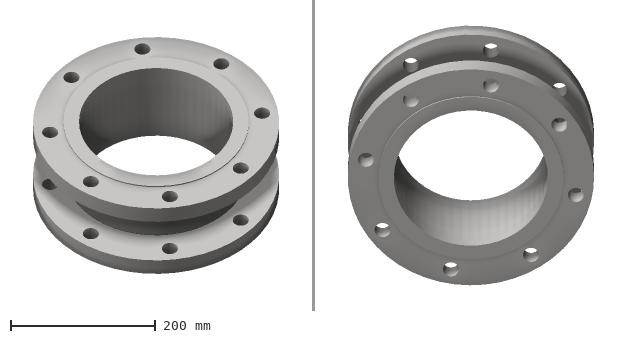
import cadquery as cq

flange_diameter = 340.0
total_height = 130.0

flange_thickness = 26.0
raised_face_diameter = 255.7
raised_face_height = 2.0

neck_radius = 108.0
body_radius = 126.8
body_height = 65.0
corner_fillet = 3.0

bore_diameter = 213.0
bolt_circle_diameter = 295.0
bolt_hole_diameter = 22.0
bolt_count = 8
first_bolt_angle = 180.0 / bolt_count

flange_outer_z = total_height / 2 - raised_face_height
flange_inner_z = flange_outer_z - flange_thickness


def make_sleeve():
    """Thick body with a narrow neck at each end, rounded at its rims and at the neck roots."""
    shoulder_z = body_height / 2
    upper_half = (
        cq.Workplane("XZ")
        .lineTo(body_radius, 0)
        .lineTo(body_radius, shoulder_z - corner_fillet)
        .tangentArcPoint((body_radius - corner_fillet, shoulder_z), relative=False)
        .lineTo(neck_radius + corner_fillet, shoulder_z)
        .tangentArcPoint((neck_radius, shoulder_z + corner_fillet), relative=False)
        .lineTo(neck_radius, flange_inner_z)
        .lineTo(0, flange_inner_z)
        .close()
        .revolve(360, (0, 0), (0, 1))
    )
    return upper_half.union(upper_half.mirror("XY"))


def make_top_flange():
    """Drilled flange with its raised face on the upper side."""
    flange = (
        cq.Workplane("XY")
        .workplane(offset=flange_inner_z)
        .circle(flange_diameter / 2)
        .extrude(flange_thickness)
    )
    raised_face = (
        cq.Workplane("XY")
        .workplane(offset=flange_outer_z)
        .circle(raised_face_diameter / 2)
        .extrude(raised_face_height)
    )
    bolt_holes = (
        cq.Workplane("XY")
        .workplane(offset=flange_inner_z)
        .polarArray(bolt_circle_diameter / 2, first_bolt_angle, 360, bolt_count)
        .circle(bolt_hole_diameter / 2)
        .extrude(flange_thickness)
    )
    return flange.union(raised_face).cut(bolt_holes)


top_flange = make_top_flange()
bottom_flange = top_flange.mirror("XY")
bore = (
    cq.Workplane("XY")
    .workplane(offset=-total_height / 2)
    .circle(bore_diameter / 2)
    .extrude(total_height)
)

result = make_sleeve().union(top_flange).union(bottom_flange).cut(bore)